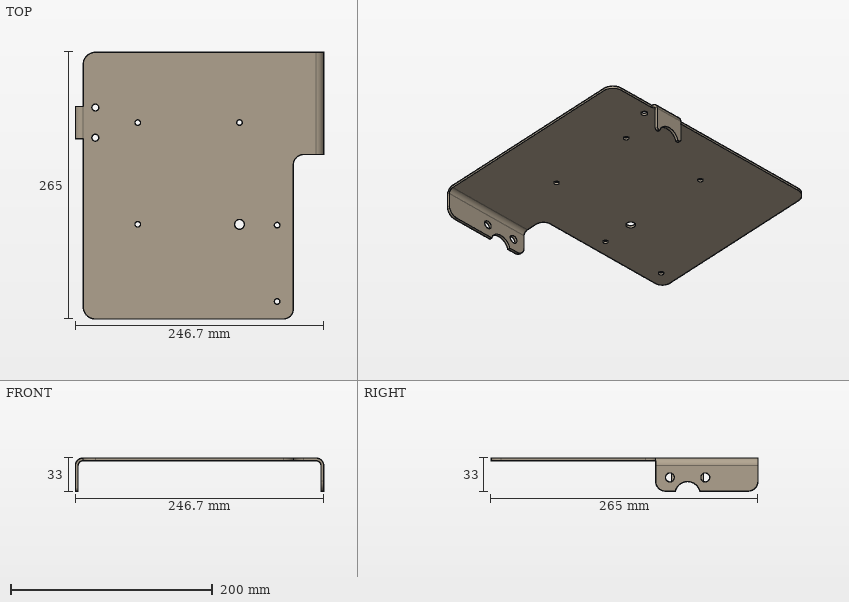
import cadquery as cq

overall_x = 246.7
overall_y = 265.0
overall_z = 33.0
sheet = 3.0
bend_outer = 7.7
bend_inner = bend_outer - sheet

left = -overall_x / 2
right = overall_x / 2
front = -overall_y / 2
back = overall_y / 2

plate_left = left + bend_outer
plate_right = right - bend_outer
notch_x = left + 216.5
left_corner_radius = 12.5
right_corner_radius = 10.0

flange_width = 101.8
flange_front = back - flange_width
flange_corner_radius = 10.0
flange_hole_diameter = 8.7
flange_hole_pitch = 35.0
flange_hole_depth = 19.3

tab_y = back - 70.0
tab_width = 32.0
tab_corner_radius = 2.0
saddle_radius = 12.5
saddle_drop = 3.0
saddle_centre = (tab_y, -overall_z - saddle_drop)

tab_hole_x = plate_left + 12.2
tab_hole_pitch = 30.0
tab_hole_diameter = 6.5
small_hole_diameter = 5.3
large_hole_diameter = 9.5
grid_pitch = 101.0
grid_left = left + 62.0
grid_right = grid_left + grid_pitch
grid_back = tab_y
grid_front = grid_back - grid_pitch
side_hole_x = left + 200.3
side_hole_back = back - 171.7
side_hole_pitch = 75.8


def make_plate():
    """Flat plate with a stepped right side and rounded corners."""
    plate = (
        cq.Workplane("XY", origin=(0, 0, -sheet))
        .moveTo(plate_left, front)
        .lineTo(notch_x, front)
        .lineTo(notch_x, flange_front)
        .lineTo(plate_right, flange_front)
        .lineTo(plate_right, back)
        .lineTo(plate_left, back)
        .close()
        .extrude(sheet)
    )
    left_corners = cq.selectors.BoxSelector(
        (plate_left - 2.6, front - 2.6, -sheet - 2.6), (plate_left + 2.6, back + 2.6, 2.6)
    )
    notch_corners = cq.selectors.BoxSelector(
        (notch_x - 2.6, front - 2.6, -sheet - 2.6), (notch_x + 2.6, back - 2.6, 2.6)
    )
    plate = plate.edges("|Z").edges(left_corners).fillet(left_corner_radius)
    return plate.edges("|Z").edges(notch_corners).fillet(right_corner_radius)


def make_bent_wall(edge_x, outward, y_start, width):
    """Quarter bend at the plate's edge and the wall below it; outward is +1 or -1 along X."""
    outer_x = edge_x + outward * bend_outer
    inner_x = edge_x + outward * bend_inner
    diagonal = 0.5 ** 0.5
    outer_mid = (edge_x + outward * bend_outer * diagonal, bend_outer * (diagonal - 1))
    inner_mid = (edge_x + outward * bend_inner * diagonal, bend_inner * diagonal - bend_outer)
    return (
        cq.Workplane("XZ", origin=(0, y_start, 0))
        .moveTo(edge_x, 0)
        .threePointArc(outer_mid, (outer_x, -bend_outer))
        .lineTo(outer_x, -overall_z)
        .lineTo(inner_x, -overall_z)
        .lineTo(inner_x, -bend_outer)
        .threePointArc(inner_mid, (edge_x, -sheet))
        .close()
        .extrude(-width)
    )


def drill_along_x(wall, start_x, points, diameter):
    """Cut round holes through a wall from start_x toward +X; points are (Y, Z)."""
    cutter = (
        cq.Workplane("YZ", origin=(start_x, 0, 0))
        .pushPoints(points)
        .circle(diameter / 2)
        .extrude(bend_outer)
    )
    return wall.cut(cutter)


def make_flange():
    """Right flange with rounded lower corners, two holes and the saddle."""
    flange = make_bent_wall(plate_right, 1, flange_front, flange_width)
    flange = flange.faces("<Z").edges("|X").fillet(flange_corner_radius)
    holes = [(tab_y + side * flange_hole_pitch / 2, -flange_hole_depth) for side in (-1, 1)]
    flange = drill_along_x(flange, plate_right, holes, flange_hole_diameter)
    return drill_along_x(flange, plate_right, [saddle_centre], 2 * saddle_radius)


def make_tab():
    """Narrow left tab with rounded lower corners and the saddle."""
    tab = make_bent_wall(plate_left, -1, tab_y - tab_width / 2, tab_width)
    tab = tab.faces("<Z").edges("|X").fillet(tab_corner_radius)
    return drill_along_x(tab, left, [saddle_centre], 2 * saddle_radius)


def drill_plate(body, points, diameter):
    """Cut round holes down through the plate; points are (X, Y)."""
    cutter = cq.Workplane("XY").pushPoints(points).circle(diameter / 2).extrude(-sheet)
    return body.cut(cutter)


tab_holes = [(tab_hole_x, tab_y + side * tab_hole_pitch / 2) for side in (-1, 1)]
small_holes = [
    (grid_left, grid_back),
    (grid_right, grid_back),
    (grid_left, grid_front),
    (side_hole_x, side_hole_back),
    (side_hole_x, side_hole_back - side_hole_pitch),
]

result = make_plate().union(make_flange()).union(make_tab())
result = drill_plate(result, tab_holes, tab_hole_diameter)
result = drill_plate(result, small_holes, small_hole_diameter)
result = drill_plate(result, [(grid_right, grid_front)], large_hole_diameter)